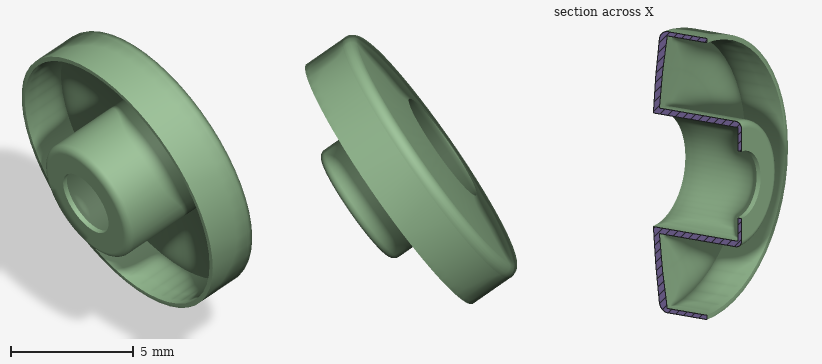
import cadquery as cq
import math

cap_radius = 5.97
rim_wall = 0.2
hub_radius = 2.669
hub_edge_radius = 0.3
hub_lip = 0.2
lip_hole_radius = 1.415
hub_bore_radius = 2.4
total_length = 4.36
hub_projection = 1.7
dome_rise = 0.3
dome_edge_radius = 5.61
shoulder_height = 0.5
cavity_side_depth = 1.96
cavity_hub_depth = 2.34

hub_end = -hub_projection
dome_mouth = total_length - hub_projection
dome_edge = dome_mouth - dome_rise
shoulder_start = dome_edge - shoulder_height

cavity_radius = cap_radius - rim_wall


def sphere_center(inner, outer):
    """Y of the center, on the axis, of the sphere through two profile points."""
    squares = inner[0]**2 + inner[1]**2 - outer[0]**2 - outer[1]**2
    return squares / (2 * (inner[1] - outer[1]))


def sphere_point(inner, outer, radius):
    """Profile point at a given radius on the sphere through two profile points."""
    center = sphere_center(inner, outer)
    sphere_radius = math.hypot(outer[0], outer[1] - center)
    return (radius, center + math.sqrt(sphere_radius**2 - radius**2))


def dome_point(radius):
    """Point on the outer dome, set by its mouth and its outer edge."""
    return sphere_point((hub_bore_radius, dome_mouth), (dome_edge_radius, dome_edge), radius)


def floor_point(radius):
    """Point on the cavity floor, set by its depths at the hub and at the side wall."""
    return sphere_point((hub_radius, cavity_hub_depth), (cavity_radius, cavity_side_depth), radius)


shoulder_width = cap_radius - dome_edge_radius
shoulder_mid = (
    dome_edge_radius + shoulder_width * math.sqrt(0.5),
    shoulder_start + shoulder_height * math.sqrt(0.5),
)

shell = (
    cq.Workplane("XY")
    .moveTo(*dome_point(0))
    .threePointArc(
        dome_point(dome_edge_radius / 2),
        (dome_edge_radius, dome_edge),
    )
    .threePointArc(shoulder_mid, (cap_radius, shoulder_start))
    .lineTo(cap_radius, 0)
    .lineTo(cavity_radius, 0)
    .lineTo(cavity_radius, cavity_side_depth)
    .threePointArc(
        floor_point(cavity_radius / 2),
        floor_point(0),
    )
    .close()
    .revolve(360, (0, 0, 0), (0, 1, 0))
)

hub_root = (dome_point(hub_radius)[1] + floor_point(hub_radius)[1]) / 2
hub = (
    cq.Workplane("XZ", origin=(0, hub_root, 0))
    .circle(hub_radius)
    .extrude(hub_root - hub_end)
    .faces("<Y")
    .edges()
    .fillet(hub_edge_radius)
)


def axial_hole(radius, start):
    """Cutter along the axis from a starting height, one part length long."""
    return cq.Workplane("XZ", origin=(0, start, 0)).circle(radius).extrude(-total_length)


lip_hole = axial_hole(lip_hole_radius, hub_end)
hub_bore = axial_hole(hub_bore_radius, hub_end + hub_lip)

result = shell.union(hub).cut(lip_hole).cut(hub_bore)